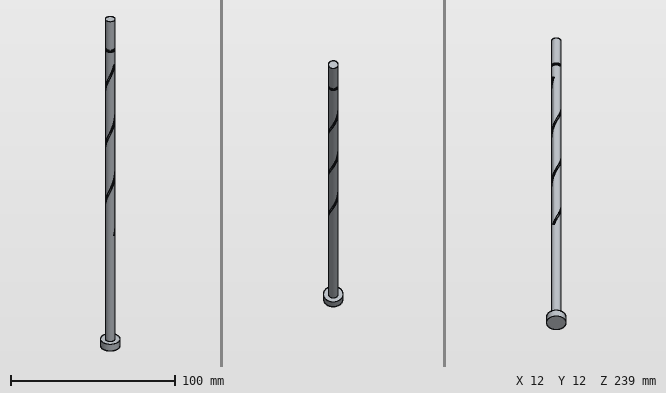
import cadquery as cq

total_length = 239.0
head_diameter = 12.0
head_height = 5.0
shaft_diameter = 6.0
shaft_radius = shaft_diameter / 2

tip_length = 21.3
ring_groove_width = 1.2
ring_groove_depth = 0.7

helix_turns = 3
helix_pitch = 41.5
helix_start = 81.5
helix_groove_width = 1.0
helix_groove_depth = 0.5
cutter_overlap = 0.5


def headed_pin():
    head = cq.Workplane("XY").circle(head_diameter / 2).extrude(head_height)
    return head.faces(">Z").workplane().circle(shaft_radius).extrude(total_length - head_height)


def ring_groove_cutter():
    groove_bottom = total_length - tip_length - ring_groove_width
    return (
        cq.Workplane("XY", origin=(0, 0, groove_bottom))
        .circle(shaft_radius + cutter_overlap)
        .circle(shaft_radius - ring_groove_depth)
        .extrude(ring_groove_width)
    )


def helical_groove_cutter():
    path = cq.Wire.makeHelix(helix_pitch, helix_turns * helix_pitch, shaft_radius)
    start_direction = path.tangentAt(0)
    section_plane = cq.Plane(origin=(shaft_radius, 0, 0), xDir=(1, 0, 0), normal=start_direction)
    section_offset = (cutter_overlap - helix_groove_depth) / 2
    cutter = (
        cq.Workplane(section_plane)
        .center(section_offset, 0)
        .rect(helix_groove_depth + cutter_overlap, helix_groove_width)
        .sweep(cq.Workplane(path), isFrenet=True)
    )
    return cutter.translate((0, 0, helix_start))


result = headed_pin().cut(ring_groove_cutter()).cut(helical_groove_cutter())